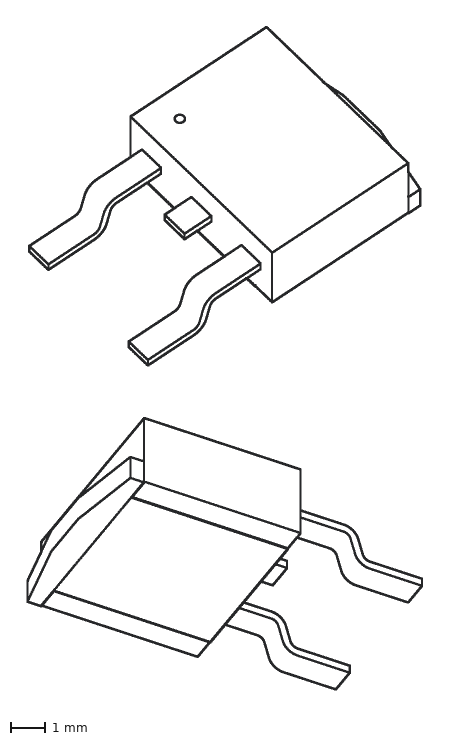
import cadquery as cq
import math

width = 6.53
total_height = 2.44
housing_length = 5.18
standoff = 0.03

tab_projection = 0.93
tab_height = 0.79
tab_corner_setback = 0.47
tab_tip_width = 1.71
pad_width = 4.92

lead_spacing = 4.58
lead_width = 0.88
lead_thickness = 0.27
lead_reach = 4.3
lead_drop = 1.07
bend_start = 1.7
bend_angle = math.radians(74)
inner_radius = 0.24
outer_radius = inner_radius + lead_thickness

stub_width = 0.92
stub_length = 1.02

marker_diameter = 0.3
marker_depth = 0.05
marker_side_inset = 0.99
marker_x = marker_side_inset - width / 2
marker_y = 1.06

foot_top = standoff + lead_thickness
shoulder_bottom = standoff + lead_drop


def make_marker():
    """Thin disc set flush into the housing top."""
    return (
        cq.Workplane("XY", origin=(marker_x, marker_y, total_height - marker_depth))
        .circle(marker_diameter / 2)
        .extrude(marker_depth)
    )


def make_housing():
    """Plain block with a recess for the marker."""
    block = cq.Workplane("XY", origin=(0, 0, standoff)).box(
        width, housing_length, total_height - standoff, centered=(True, False, False)
    )
    return block.cut(make_marker())


def make_tab():
    """Tapered block behind the housing, joined to a thin pad beneath it."""
    tip_y = housing_length + tab_projection
    shoulder_y = tip_y - tab_corner_setback
    block = (
        cq.Workplane("XY")
        .polyline([
            (-width / 2, housing_length),
            (width / 2, housing_length),
            (width / 2, shoulder_y),
            (tab_tip_width / 2, tip_y),
            (-tab_tip_width / 2, tip_y),
            (-width / 2, shoulder_y),
        ])
        .close()
        .extrude(tab_height)
    )
    pad = cq.Workplane("XY").box(
        pad_width, housing_length, standoff, centered=(True, False, False)
    )
    return block.union(pad)


def make_lead(center_x):
    """Gull-wing lead: shoulder, two equal and opposite bends, and a flat foot."""
    radius_sum = inner_radius + outer_radius
    slope_drop = lead_drop - radius_sum * (1 - math.cos(bend_angle))
    bend_run = radius_sum * math.sin(bend_angle) + slope_drop / math.tan(bend_angle)

    upper_center = (-bend_start, shoulder_bottom - inner_radius)
    lower_center = (-bend_start - bend_run, foot_top + inner_radius)

    def upper(radius, angle):
        return (
            upper_center[0] - radius * math.sin(angle),
            upper_center[1] + radius * math.cos(angle),
        )

    def lower(radius, angle):
        return (
            lower_center[0] + radius * math.sin(angle),
            lower_center[1] - radius * math.cos(angle),
        )

    half_angle = bend_angle / 2
    return (
        cq.Workplane("YZ", origin=(center_x, 0, 0))
        .moveTo(0, shoulder_bottom + lead_thickness)
        .lineTo(*upper(outer_radius, 0))
        .threePointArc(upper(outer_radius, half_angle), upper(outer_radius, bend_angle))
        .lineTo(*lower(inner_radius, bend_angle))
        .threePointArc(lower(inner_radius, half_angle), lower(inner_radius, 0))
        .lineTo(-lead_reach, foot_top)
        .lineTo(-lead_reach, standoff)
        .lineTo(*lower(outer_radius, 0))
        .threePointArc(lower(outer_radius, half_angle), lower(outer_radius, bend_angle))
        .lineTo(*upper(inner_radius, bend_angle))
        .threePointArc(upper(inner_radius, half_angle), upper(inner_radius, 0))
        .lineTo(0, shoulder_bottom)
        .close()
        .extrude(lead_width / 2, both=True)
    )


def make_stub():
    """Short centre lead level with the shoulders of the outer leads."""
    return cq.Workplane("XY", origin=(0, -stub_length, shoulder_bottom)).box(
        stub_width, stub_length, lead_thickness, centered=(True, False, False)
    )


housing = make_housing()
tab = make_tab()
stub = make_stub()
marker = make_marker()
leads = [make_lead(side * lead_spacing / 2) for side in (-1, 1)]

result = cq.Compound.makeCompound(
    [housing.val(), tab.val(), stub.val(), marker.val(), *[lead.val() for lead in leads]]
)